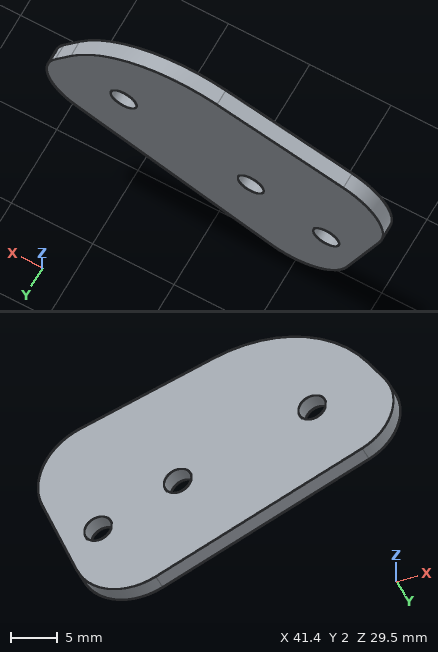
import cadquery as cq
import math

length = 41.4
height = 29.5
thickness = 2.0
hole_diameter = 3.2
hole_centers = [(7.0, 9.3), (16.28, 13.05), (31.95, 18.35)]

left_radius = 7.0
top_radius = 16.0
right_radius = 6.0
bottom_radius = left_radius

corners = [
    (left_radius, 17.15, left_radius),
    (25.25, height - top_radius, top_radius),
    (length - right_radius, 16.35, right_radius),
    (10.98, bottom_radius, bottom_radius),
]


def point_on(corner, angle):
    x, z, radius = corner
    return (x + radius * math.cos(angle), z + radius * math.sin(angle))


def tangent_angle(first, second):
    """Direction of the outward normal of the edge tangent to two corners."""
    dx = second[0] - first[0]
    dz = second[1] - first[1]
    tilt = math.acos((first[2] - second[2]) / math.hypot(dx, dz))
    return math.atan2(dz, dx) + tilt


def make_plate():
    """Straight tangent edges joining the four corner arcs."""
    count = len(corners)
    edge_angles = [tangent_angle(corners[i], corners[(i + 1) % count]) for i in range(count)]
    outline = cq.Workplane("XZ").moveTo(*point_on(corners[0], edge_angles[-1]))
    for i, corner in enumerate(corners):
        arc_end = edge_angles[i]
        sweep = (edge_angles[i - 1] - arc_end) % (2 * math.pi)
        next_corner = corners[(i + 1) % count]
        outline = outline.threePointArc(point_on(corner, arc_end + sweep / 2), point_on(corner, arc_end))
        if i < count - 1:
            outline = outline.lineTo(*point_on(next_corner, arc_end))
    return outline.close().extrude(thickness)


def make_holes():
    """Round cutters passing through the whole plate."""
    return cq.Workplane("XZ").pushPoints(hole_centers).circle(hole_diameter / 2).extrude(thickness)


result = make_plate().cut(make_holes())